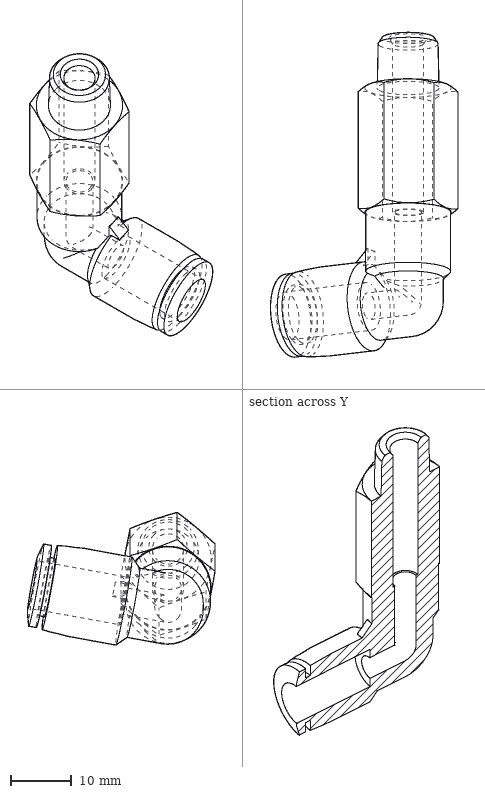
import cadquery as cq
import math

total_height = 51.9
total_width = 29.85
hex_across_flats = 14.25
socket_diameter = 14.8
stem_diameter = 14.0
elbow_diameter = 11.6
bore_diameter = 4.4
socket_radius = socket_diameter / 2
stem_radius = stem_diameter / 2
elbow_radius = elbow_diameter / 2

top_z = total_height - socket_radius
thread_length = 8.45
hex_top_z = top_z - thread_length
hex_height = 20.95
hex_bottom_z = hex_top_z - hex_height
stem_bottom_z = 5.1
stem_cone_height = stem_radius - elbow_radius

thread_base_diameter = 10.2
thread_end_diameter = 9.9
thread_tip_diameter = 8.6
thread_chamfer_height = 1.0
stem_bore_diameter = 5.15
mouth_diameter = 6.35
mouth_depth = 1.0

hex_chamfer_diameter = 14.2
hex_chamfer_angle = 30

socket_cone_start_x = elbow_radius
socket_start_x = socket_cone_start_x + socket_radius - elbow_radius
taper_start_x = 15.5
taper_end_x = 18.4
socket_end_x = 19.8
taper_end_radius = 7.2
socket_end_radius = 7.05

collar_diameter = 13.8
neck_diameter = 9.8
neck_flare_diameter = 9.9
neck_flare_x = 20.5
collar_start_x = 20.8
collar_bevel_x = 22.1
collar_end_x = total_width - hex_across_flats / 2
collar_face_radius = 4.7
tube_diameter = 7.95
tube_depth = 15.3

web_width = 2.5
web_top_z = 9.45
web_end_x = stem_radius + web_top_z - socket_radius


def revolve_about_z(points):
    """Revolve an (r, z) profile about the stem axis."""
    return cq.Workplane("XZ").polyline(points).close().revolve(360, (0, 0, 0), (0, 1, 0))


def revolve_about_x(points):
    """Revolve an (x, r) profile about the socket axis."""
    return cq.Workplane("XZ").polyline(points).close().revolve(360, (0, 0, 0), (1, 0, 0))


def make_hexagon():
    corner_radius = hex_across_flats / math.sqrt(3)
    face_radius = hex_chamfer_diameter / 2
    chamfer_height = (corner_radius - face_radius) * math.tan(math.radians(hex_chamfer_angle))
    prism = (
        cq.Workplane("XY", origin=(0, 0, hex_bottom_z))
        .polygon(6, 2 * corner_radius)
        .extrude(hex_height)
        .rotate((0, 0, 0), (0, 0, 1), 30)
    )
    envelope = revolve_about_z([
        (0, hex_bottom_z),
        (face_radius, hex_bottom_z),
        (corner_radius, hex_bottom_z + chamfer_height),
        (corner_radius, hex_top_z - chamfer_height),
        (face_radius, hex_top_z),
        (0, hex_top_z),
    ])
    return prism.intersect(envelope)


def make_thread():
    return revolve_about_z([
        (0, hex_top_z),
        (thread_base_diameter / 2, hex_top_z),
        (thread_end_diameter / 2, top_z - thread_chamfer_height),
        (thread_tip_diameter / 2, top_z),
        (0, top_z),
    ])


def make_stem():
    return revolve_about_z([
        (0, 0),
        (elbow_radius, 0),
        (elbow_radius, stem_bottom_z - stem_cone_height),
        (stem_radius, stem_bottom_z),
        (stem_radius, hex_bottom_z),
        (0, hex_bottom_z),
    ])


def make_socket():
    return revolve_about_x([
        (0, 0),
        (0, elbow_radius),
        (socket_cone_start_x, elbow_radius),
        (socket_start_x, socket_radius),
        (taper_start_x, socket_radius),
        (taper_end_x, taper_end_radius),
        (socket_end_x, socket_end_radius),
        (socket_end_x, neck_diameter / 2),
        (neck_flare_x, neck_diameter / 2),
        (collar_start_x, neck_flare_diameter / 2),
        (collar_start_x, collar_diameter / 2),
        (collar_bevel_x, collar_diameter / 2),
        (collar_end_x, collar_face_radius),
        (collar_end_x, 0),
    ])


def make_web():
    return (
        cq.Workplane("XZ")
        .polyline([(elbow_radius, elbow_radius), (elbow_radius, web_top_z), (stem_radius, web_top_z),
                   (web_end_x, socket_radius), (web_end_x, elbow_radius)])
        .close()
        .extrude(web_width / 2, both=True)
    )


def make_passages():
    stem_passage = revolve_about_z([
        (0, 0),
        (bore_diameter / 2, 0),
        (bore_diameter / 2, hex_bottom_z),
        (stem_bore_diameter / 2, hex_bottom_z),
        (stem_bore_diameter / 2, top_z - mouth_depth),
        (mouth_diameter / 2, top_z),
        (0, top_z),
    ])
    tube_stop_x = collar_end_x - tube_depth
    socket_passage = revolve_about_x([
        (0, 0),
        (0, bore_diameter / 2),
        (tube_stop_x, bore_diameter / 2),
        (tube_stop_x, tube_diameter / 2),
        (collar_end_x, tube_diameter / 2),
        (collar_end_x, 0),
    ])
    rounded_corner = cq.Workplane("XY").sphere(bore_diameter / 2)
    return stem_passage.union(socket_passage).union(rounded_corner)


elbow_corner = cq.Workplane("XY").sphere(elbow_radius)
body = make_stem().union(make_socket()).union(elbow_corner).union(make_web())
body = body.union(make_hexagon()).union(make_thread())
result = body.cut(make_passages())